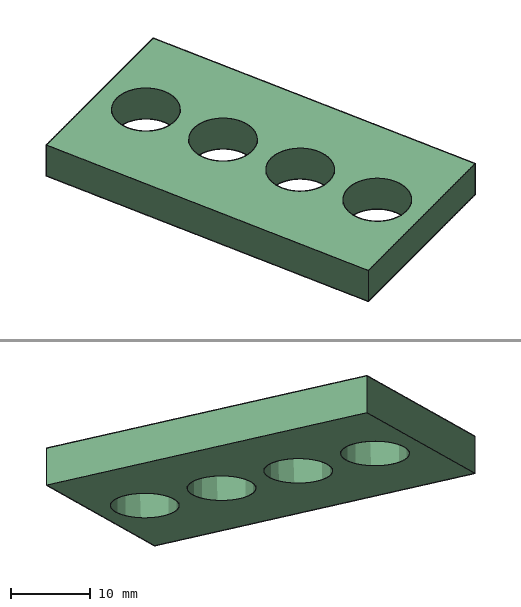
import cadquery as cq

plate_length = 47.75
plate_width = 25.4
plate_thickness = 5.0

hole_diameter = 8.64
hole_count = 4
hole_pitch = 11.43
row_offset_x = 0.125


def make_plate():
    """Rectangular plate centred in X and Y, resting on Z = 0."""
    return cq.Workplane("XY").box(
        plate_length, plate_width, plate_thickness, centered=(True, True, False)
    )


def cut_hole_row(plate):
    """Cut the evenly spaced row of through holes."""
    return (
        plate.faces(">Z")
        .workplane(origin=(row_offset_x, 0, plate_thickness))
        .rarray(hole_pitch, 1, hole_count, 1)
        .hole(hole_diameter)
    )


result = cut_hole_row(make_plate())